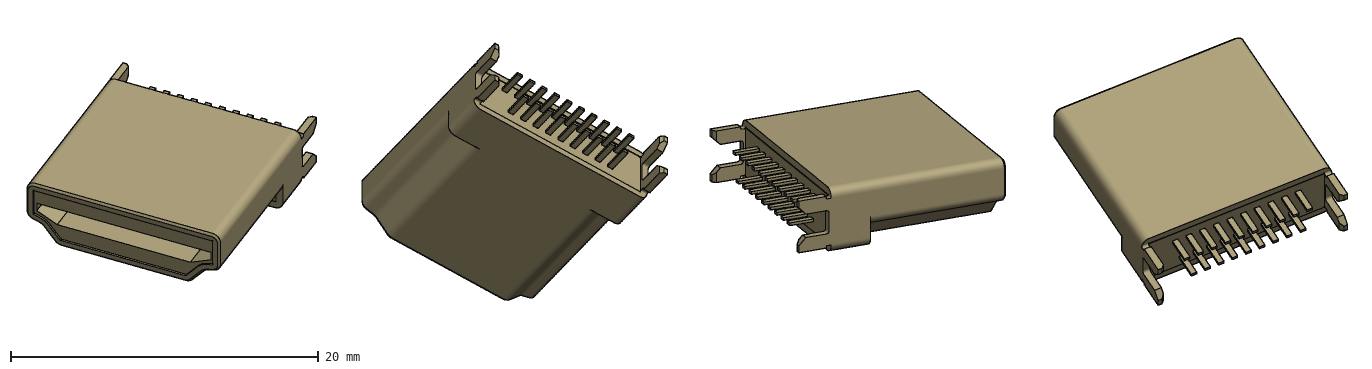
import cadquery as cq
import math

WIDTH = 13.9
HEIGHT = 4.45
LENGTH = 14.85
WALL = 0.5
CORNER_RADIUS = 0.6
FRONT_CHAMFER = 0.15
STEP_Y = 9.71
SHELL_END_Y = 12.53

SHOULDER_Z = 1.63
SHOULDER_ANGLE = 16.0
FLANK_ANGLE = 49.5
KEEL_WIDTH = 9.47

PRONG_INSET = 0.42
PRONG_START_Y = 12.89
SLOT_HEIGHT = 1.63
SLOT_END_Y = 12.7
SLOT_RADIUS = 0.2
NECK_INSET = CORNER_RADIUS
NOTCH_RADIUS = 0.1
SLOT_MOUTH_CHAMFER = 0.5
TIP_BEVEL = 0.22

TOP_GAP = 0.05
FACE_Y = 0.15
POCKET_WIDTH = 12.5
POCKET_FLOOR_WIDTH = 9.56
POCKET_TOP_Z = 2.87
POCKET_SIDE_Z = 2.25
POCKET_FLOOR_Z = 1.59

UPPER_CONTACTS = 10
LOWER_CONTACTS = 9
CONTACT_SPAN = 9.0
CONTACT_PITCH = CONTACT_SPAN / (UPPER_CONTACTS - 1)
CONTACT_WIDTH = 0.4
CONTACT_THICKNESS = 0.2
CONTACT_END_Y = 14.24

MID_Z = HEIGHT / 2
SLOT_TOP_Z = MID_Z + SLOT_HEIGHT / 2
SLOT_BOTTOM_Z = MID_Z - SLOT_HEIGHT / 2


def block(x_start, x_end, y_start, y_end, z_start, z_end):
    """Box between two opposite corners."""
    size = (x_end - x_start, y_end - y_start, z_end - z_start)
    return cq.Workplane("XY").box(*size, centered=False).translate((x_start, y_start, z_start))


def prism_along_y(points, y_start, y_end):
    """Extrude an outline of (x, z) points from y_start to y_end."""
    outline = cq.Workplane("XZ", origin=(0, y_start, 0)).polyline(points).close()
    return outline.extrude(y_start - y_end)


def mirrored(right_half):
    """Complete an outline from its right half, listed from top to bottom."""
    return right_half + [(-x, z) for x, z in reversed(right_half)]


def plug_outline(inset):
    """Sharp-cornered plug outline, moved inward by inset; also the shoulder-to-flank corner."""
    shoulder = math.radians(SHOULDER_ANGLE)
    flank = math.radians(FLANK_ANGLE)
    side_x = WIDTH / 2 - inset
    bottom_z = inset

    corner_z = SHOULDER_Z - inset * math.tan(shoulder) + inset / math.cos(shoulder)
    keel_x = KEEL_WIDTH / 2 - inset * math.tan(flank / 2)

    rise = corner_z - bottom_z + keel_x * math.tan(flank) - side_x * math.tan(shoulder)
    knee_x = rise / (math.tan(flank) - math.tan(shoulder))
    knee_z = bottom_z + (knee_x - keel_x) * math.tan(flank)

    right_half = [
        (side_x, HEIGHT - inset),
        (side_x, corner_z),
        (knee_x, knee_z),
        (keel_x, bottom_z),
    ]
    return mirrored(right_half), (knee_x, knee_z)


def plug_cavity(y_start):
    """Inside of the plug section, with only the two shoulder-to-flank corners rounded."""
    outline, (knee_x, knee_z) = plug_outline(WALL)
    cavity = prism_along_y(outline, y_start, STEP_Y)
    middle_y = (y_start + STEP_Y) / 2
    for side in (-1, 1):
        knee_edge = cq.selectors.NearestToPointSelector((side * knee_x, middle_y, knee_z))
        cavity = cavity.edges("|Y").edges(knee_edge).fillet(CORNER_RADIUS + WALL)
    return cavity


def rear_cavity():
    """Inside of the rectangular rear section."""
    inner_x = WIDTH / 2 - WALL
    return block(-inner_x, inner_x, STEP_Y, SHELL_END_Y, WALL, HEIGHT - WALL)


def side_plate():
    """Left plate behind the tube: two prongs around the circuit board slot."""
    outer_x = -WIDTH / 2
    inner_x = outer_x + WALL
    plate = block(outer_x, inner_x, SHELL_END_Y, LENGTH, PRONG_INSET, HEIGHT - PRONG_INSET)

    plate = plate.faces(">Y").edges(">X").chamfer(TIP_BEVEL)

    slot = block(outer_x, inner_x, SLOT_END_Y, LENGTH, SLOT_BOTTOM_Z, SLOT_TOP_Z)
    slot = slot.faces("<Y").edges("|X").fillet(SLOT_RADIUS)
    plate = plate.cut(slot)
    slot_mouth = (
        cq.Workplane("YZ", origin=(outer_x, 0, 0))
        .polyline([
            (LENGTH - SLOT_MOUTH_CHAMFER, SLOT_TOP_Z),
            (LENGTH, SLOT_TOP_Z + SLOT_MOUTH_CHAMFER),
            (LENGTH, SLOT_BOTTOM_Z - SLOT_MOUTH_CHAMFER),
            (LENGTH - SLOT_MOUTH_CHAMFER, SLOT_BOTTOM_Z),
        ])
        .close()
        .extrude(WALL)
    )
    plate = plate.cut(slot_mouth)

    notch = block(outer_x, inner_x, SHELL_END_Y, PRONG_START_Y, HEIGHT - NECK_INSET, HEIGHT)
    notch = notch.faces("<Z").edges("|X").fillet(NOTCH_RADIUS)
    lower_notch = notch.mirror("XY", (0, 0, MID_Z))
    return plate.cut(notch).cut(lower_notch)


def make_shell():
    """Sheet metal shell with its mounting prongs."""
    rear = block(-WIDTH / 2, WIDTH / 2, STEP_Y, SHELL_END_Y, 0, HEIGHT)
    rear = rear.edges("|Y").fillet(CORNER_RADIUS)

    outline, _ = plug_outline(0)
    plug = prism_along_y(outline, 0, STEP_Y).edges("|Y").fillet(CORNER_RADIUS)
    plug = plug.faces("<Y").chamfer(FRONT_CHAMFER)

    left_plate = side_plate()
    right_plate = left_plate.mirror("YZ")
    shell = plug.union(rear).cut(plug_cavity(0)).cut(rear_cavity())
    return shell.union(left_plate).union(right_plate)


def contact_row(count, z_start):
    """Row of contact tails, centred in X, running back from the insulator."""
    row = cq.Workplane("XY")
    for index in range(count):
        x = (index - (count - 1) / 2) * CONTACT_PITCH
        tail = block(
            x - CONTACT_WIDTH / 2,
            x + CONTACT_WIDTH / 2,
            SHELL_END_Y,
            CONTACT_END_Y,
            z_start,
            z_start + CONTACT_THICKNESS,
        )
        row = row.add(tail)
    return row


def make_insulator():
    """Insulator that fills the shell, with the plug pocket and the two rows of contact tails."""
    pocket_outline = mirrored([
        (POCKET_WIDTH / 2, POCKET_TOP_Z),
        (POCKET_WIDTH / 2, POCKET_SIDE_Z),
        (POCKET_FLOOR_WIDTH / 2, POCKET_FLOOR_Z),
    ])
    pocket = prism_along_y(pocket_outline, FACE_Y, STEP_Y)
    ceiling_gap = block(-WIDTH / 2, WIDTH / 2, FACE_Y, SHELL_END_Y, HEIGHT - WALL - TOP_GAP, HEIGHT)
    insulator = plug_cavity(FACE_Y).union(rear_cavity()).cut(pocket).cut(ceiling_gap)

    upper_row = contact_row(UPPER_CONTACTS, SLOT_TOP_Z)
    lower_row = contact_row(LOWER_CONTACTS, SLOT_BOTTOM_Z - CONTACT_THICKNESS)
    for tail in upper_row.vals() + lower_row.vals():
        insulator = insulator.union(cq.Workplane(tail))
    return insulator


shell = make_shell()
insulator = make_insulator()

result = cq.Compound.makeCompound([shell.solids().val(), insulator.solids().val()])